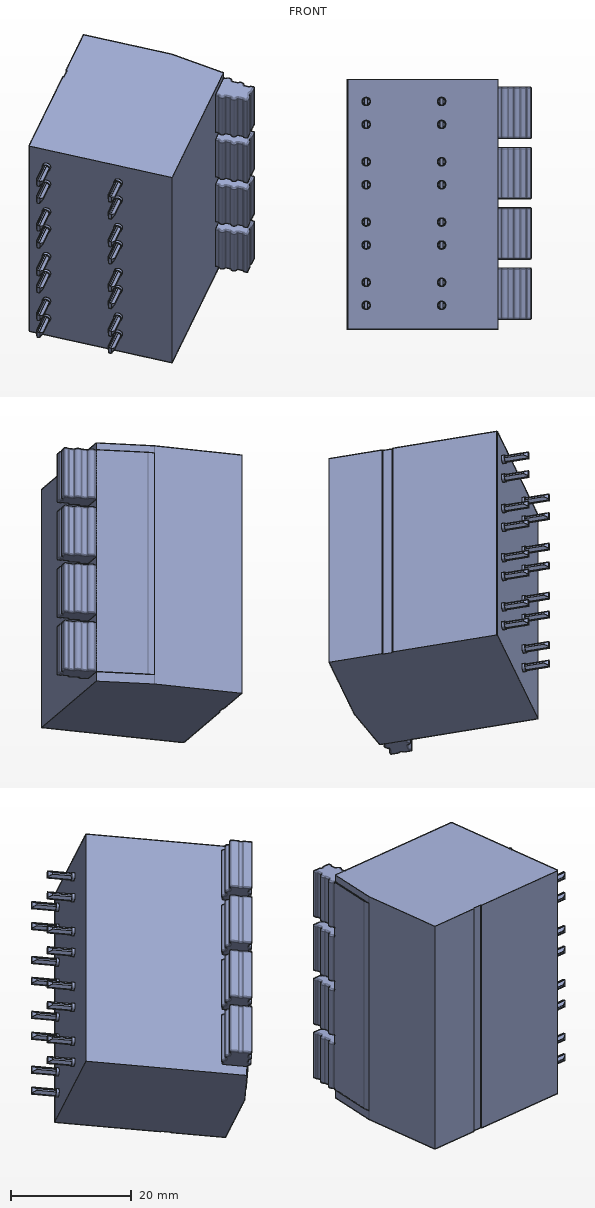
import cadquery as cq
import math

HOUSING_WIDTH = 25.0
HOUSING_DEPTH = 29.0
HOUSING_HEIGHT = 41.4
CORNER_CHAMFER = 0.15

SLOPE_ANGLE = 10
SLOPE_START = 15.4
SLOPE_FALL = math.tan(math.radians(SLOPE_ANGLE))

GROOVE_CENTER = 18.9
GROOVE_MOUTH = 1.85
GROOVE_DEPTH = 0.15

POLE_COUNT = 4
POLE_SPAN = 29.97
POLE_PITCH = POLE_SPAN / (POLE_COUNT - 1)

PIN_COLUMNS = (3.15, 15.65)
FIRST_PIN_Z = 3.97
PAIR_SPACING = 3.8
PIN_LENGTH = 4.5
PIN_WIDTH = 1.2
PIN_FLAT = 0.3
TIP_LENGTH = 0.75
TIP_WIDTH = 0.5
COLLAR_DIAMETER = 1.4
COLLAR_LENGTH = 0.5

COVER_START = 16.55
FIRST_LEVER_Z = 1.6
LEVER_HEIGHT = 8.55

FRONT_ROOT = 23.05
FRONT_RIDGES = (
    ((25.55, 23.05), (26.1, 22.73), (26.65, 23.23)),
    ((27.57, 23.23), (28.1, 22.9), (28.65, 23.47)),
)
BACK_RIDGES = (
    ((25.25, 27.5), (25.8, 27.8), (26.55, 27.15)),
    ((27.57, 27.15), (28.05, 27.4), (28.75, 26.8)),
)

LEVER_TIP = 30.5
LIP_FOOT = 29.65
LIP_START = 29.8
LIP_HEIGHT = 0.2
NOTCH_CENTER = 25.1
NOTCH_HALF = 0.37
NOTCH_DEPTH = 0.25

OUTLINE_FILLET = 0.12
END_FILLET = 0.25


def slope_y(start, x):
    """Y at `x` on a slope line that leaves the back face at `start`."""
    return HOUSING_DEPTH - (x - start) * SLOPE_FALL


def pole_levels(first):
    return [first + i * POLE_PITCH for i in range(POLE_COUNT)]


def make_block():
    block = (
        cq.Workplane("XY")
        .moveTo(CORNER_CHAMFER, 0)
        .lineTo(HOUSING_WIDTH, 0)
        .lineTo(HOUSING_WIDTH, slope_y(SLOPE_START, HOUSING_WIDTH))
        .lineTo(SLOPE_START, HOUSING_DEPTH)
        .lineTo(0, HOUSING_DEPTH)
        .lineTo(0, CORNER_CHAMFER)
        .close()
        .extrude(HOUSING_HEIGHT)
    )
    half_mouth = GROOVE_MOUTH / 2
    half_floor = half_mouth - GROOVE_DEPTH
    groove = (
        cq.Workplane("XY")
        .moveTo(0, GROOVE_CENTER - half_mouth)
        .lineTo(GROOVE_DEPTH, GROOVE_CENTER - half_floor)
        .lineTo(GROOVE_DEPTH, GROOVE_CENTER + half_floor)
        .lineTo(0, GROOVE_CENTER + half_mouth)
        .close()
        .extrude(HOUSING_HEIGHT)
    )
    return block.cut(groove)


def make_pin(x, z):
    """Square pin standing on its corner, with blunted corners, a round collar and a chisel tip."""
    half = PIN_WIDTH / 2
    flat = PIN_FLAT / 2
    section = [
        (half, -flat), (half, flat), (flat, half), (-flat, half),
        (-half, flat), (-half, -flat), (-flat, -half), (flat, -half),
    ]
    shank = cq.Workplane("XZ").polyline(section).close().extrude(PIN_LENGTH)
    chisel = (
        cq.Workplane("XY")
        .moveTo(-half, 0)
        .lineTo(half, 0)
        .lineTo(half, TIP_LENGTH - PIN_LENGTH)
        .lineTo(TIP_WIDTH / 2, -PIN_LENGTH)
        .lineTo(-TIP_WIDTH / 2, -PIN_LENGTH)
        .lineTo(-half, TIP_LENGTH - PIN_LENGTH)
        .close()
        .extrude(half, both=True)
    )
    collar = cq.Workplane("XZ").circle(COLLAR_DIAMETER / 2).extrude(COLLAR_LENGTH)
    return shank.intersect(chisel).union(collar).translate((x, 0, z))


def make_housing():
    housing = make_block()
    for x in PIN_COLUMNS:
        for z in pole_levels(FIRST_PIN_Z):
            for offset in (0, PAIR_SPACING):
                housing = housing.union(make_pin(x, z + offset))
    return housing


def make_handle(z):
    """Ribbed handle: two rounded ridges on each side and a notched tip."""
    front_end = FRONT_RIDGES[-1][-1][1]
    back_end = BACK_RIDGES[-1][-1][1]
    outline = cq.Workplane("XY").moveTo(HOUSING_WIDTH, FRONT_ROOT)
    for root_end, crest, tip_end in FRONT_RIDGES:
        outline = outline.lineTo(*root_end).threePointArc(crest, tip_end)
    outline = (
        outline.lineTo(LIP_FOOT, front_end)
        .lineTo(LIP_START, front_end - LIP_HEIGHT)
        .lineTo(LEVER_TIP, front_end - LIP_HEIGHT)
        .lineTo(LEVER_TIP, NOTCH_CENTER - NOTCH_HALF)
        .threePointArc((LEVER_TIP - NOTCH_DEPTH, NOTCH_CENTER), (LEVER_TIP, NOTCH_CENTER + NOTCH_HALF))
        .lineTo(LEVER_TIP, back_end + LIP_HEIGHT)
        .lineTo(LIP_START, back_end + LIP_HEIGHT)
        .lineTo(LIP_FOOT, back_end)
    )
    for root_end, crest, tip_end in reversed(BACK_RIDGES):
        outline = outline.lineTo(*tip_end).threePointArc(crest, root_end)
    handle = (
        outline.lineTo(HOUSING_WIDTH, slope_y(COVER_START, HOUSING_WIDTH))
        .close()
        .extrude(LEVER_HEIGHT)
    )
    handle = handle.edges("|Z").edges("not(<X)").fillet(OUTLINE_FILLET)
    handle = handle.faces("|Z").edges("not(<X)").fillet(END_FILLET)
    return handle.translate((0, 0, z))


def make_lever_comb():
    levels = pole_levels(FIRST_LEVER_Z)
    comb = (
        cq.Workplane("XY", origin=(0, 0, FIRST_LEVER_Z))
        .moveTo(SLOPE_START, HOUSING_DEPTH)
        .lineTo(COVER_START, HOUSING_DEPTH)
        .lineTo(HOUSING_WIDTH, slope_y(COVER_START, HOUSING_WIDTH))
        .lineTo(HOUSING_WIDTH, slope_y(SLOPE_START, HOUSING_WIDTH))
        .close()
        .extrude(levels[-1] - levels[0] + LEVER_HEIGHT)
    )
    for z in levels:
        comb = comb.union(make_handle(z))
    return comb


housing = make_housing()
lever_comb = make_lever_comb()
result = cq.Compound.makeCompound([housing.val(), lever_comb.val()])